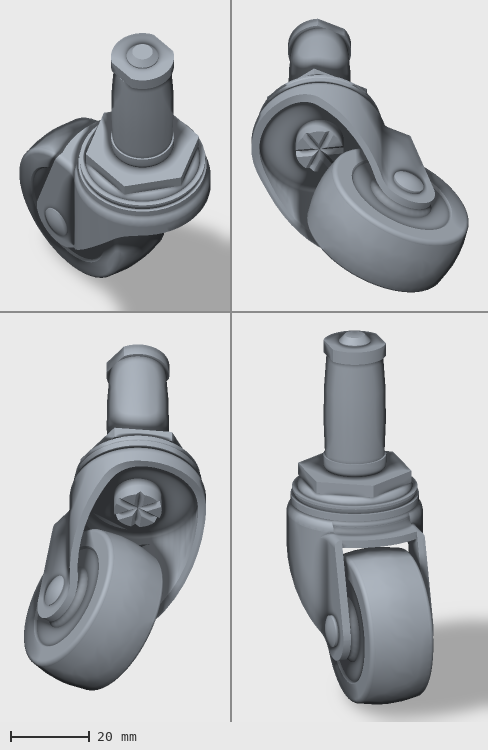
import cadquery as cq

import math


wheel_radius = 20.0
wheel_width = 17.0
axle_x = -19.0
axle_z = wheel_radius

tread_width = 14.7
tread_edge_radius = 19.0
face_radius = 17.85
recess_radius = 14.0
recess_depth = 0.55
hub_base_radius = 8.5
hub_width = 19.3

axle_radius = 3.1
axle_head_radius = 4.05
head_dome_height = 1.1
front_head_rim = 0.3
back_head_rim = 0.8

sheet = 2.0
skirt_radius = 17.3
skirt_bottom_z = 41.2
plate_top_z = 44.3
fork_top_z = 47.5
shoulder_round = (fork_top_z - plate_top_z) / 2
leg_half_width = 12.05
leg_tip_radius = 7.6
leg_blend_radius = 4.1
leg_bend_radius = 1.75
plate_front_radius = 21.8
front_edge_angle = math.radians(17.4)
rear_edge_angle = math.radians(48.8)
rear_corner_radius = 9.0
shoulder_wall_radius = 16.3
stem_hole_radius = 5.0

foot_radius = 6.1
foot_bottom_z = 39.9
notch_depth = 1.1
notch_half_width = 1.1
groove_count = 3
lower_ring_radius = 16.3
lower_ring_top_z = 49.2
neck_bottom_radius = 15.5
neck_top_z = 50.5
upper_ring_radius = 15.9
upper_ring_top_z = 51.15
cap_radius = 14.6
cap_top_z = 53.1
hex_corner_diameter = 29.35
hex_top_z = 56.2
collar_radius = 8.0
collar_foot_radius = 7.5
collar_bulge = 0.14
collar_bottom_z = 57.4
collar_top_z = 59.7
barrel_bottom_radius = 7.5
barrel_middle_radius = 7.9
barrel_top_radius = 7.2
flange_bottom_z = 86.8
flange_top_z = 90.1
flange_flat_half_width = 7.1
tip_radius = 4.05
tip_rim_height = 0.4
tip_top_radius = 2.6
tip_top_z = 92.0


def turned_about_axle(profile):
    """Revolve a (radius, y) half profile about the wheel's Y axis."""
    turned = profile.close().revolve(360, (0, 0, 0), (0, 1, 0))
    return turned.translate((axle_x, 0, axle_z))


def turned_about_stem(profile):
    """Revolve a (radius, z) half profile about the swivel axis."""
    return profile.close().revolve(360, (0, 0, 0), (0, 1, 0))


def make_wheel():
    face_y = wheel_width / 2
    tread_y = tread_width / 2
    recess_y = face_y - recess_depth
    hub_y = hub_width / 2
    hub_tip_radius = hub_base_radius - (hub_y - recess_y)
    recess_floor_radius = recess_radius - recess_depth
    tread_drop = tread_edge_radius - face_radius
    edge_mid = (
        face_radius + tread_drop * math.sin(math.pi / 4),
        tread_y + (face_y - tread_y) * math.sin(math.pi / 4),
    )
    profile = (
        cq.Workplane("XY")
        .moveTo(axle_radius, -hub_y)
        .lineTo(hub_tip_radius, -hub_y)
        .lineTo(hub_base_radius, -recess_y)
        .lineTo(recess_floor_radius, -recess_y)
        .lineTo(recess_radius, -face_y)
        .lineTo(face_radius, -face_y)
        .threePointArc((edge_mid[0], -edge_mid[1]), (tread_edge_radius, -tread_y))
        .threePointArc((wheel_radius, 0), (tread_edge_radius, tread_y))
        .threePointArc(edge_mid, (face_radius, face_y))
        .lineTo(recess_radius, face_y)
        .lineTo(recess_floor_radius, recess_y)
        .lineTo(hub_base_radius, recess_y)
        .lineTo(hub_tip_radius, hub_y)
        .lineTo(axle_radius, hub_y)
    )
    return turned_about_axle(profile)


def make_axle():
    """Rivet whose two domed heads sit on the outside of the fork legs."""
    leg_y = leg_half_width
    front_rim_y = -leg_y - front_head_rim
    back_rim_y = leg_y + back_head_rim
    dome_sphere_radius = (axle_head_radius**2 + head_dome_height**2) / (2 * head_dome_height)
    mid_radius = axle_head_radius / 2
    mid_height = head_dome_height - dome_sphere_radius + math.sqrt(dome_sphere_radius**2 - mid_radius**2)
    profile = (
        cq.Workplane("XY")
        .moveTo(0, front_rim_y - head_dome_height)
        .threePointArc((mid_radius, front_rim_y - mid_height), (axle_head_radius, front_rim_y))
        .lineTo(axle_head_radius, -leg_y)
        .lineTo(axle_radius, -leg_y)
        .lineTo(axle_radius, leg_y)
        .lineTo(axle_head_radius, leg_y)
        .lineTo(axle_head_radius, back_rim_y)
        .threePointArc((mid_radius, back_rim_y + mid_height), (0, back_rim_y + head_dome_height))
    )
    return turned_about_axle(profile)


def fork_plan(inset, bottom_z, top_z):
    """Prism of the fork's outline: a round skirt blended into two parallel legs toward -X."""
    radius = skirt_radius - inset
    half_width = leg_half_width - inset
    blend = leg_blend_radius + inset
    far_x = axle_x - wheel_radius
    blend_y = half_width + blend
    blend_x = -math.sqrt((radius + blend) ** 2 - blend_y**2)
    skirt_share = radius / (radius + blend)
    join_x = blend_x * skirt_share
    join_y = blend_y * skirt_share
    middle_angle = (math.atan2(join_y - blend_y, join_x - blend_x) - math.pi / 2) / 2
    middle_x = blend_x + blend * math.cos(middle_angle)
    middle_y = blend_y + blend * math.sin(middle_angle)
    return (
        cq.Workplane("XY", origin=(0, 0, bottom_z))
        .moveTo(far_x, -half_width)
        .lineTo(blend_x, -half_width)
        .threePointArc((middle_x, -middle_y), (join_x, -join_y))
        .threePointArc((radius, 0), (join_x, join_y))
        .threePointArc((middle_x, middle_y), (blend_x, half_width))
        .lineTo(far_x, half_width)
        .close()
        .extrude(top_z - bottom_z)
    )


def dome(inset):
    """Round top of the fork with a rounded rim."""
    rim_radius = fork_top_z - plate_top_z - inset
    height = fork_top_z - skirt_bottom_z - inset
    disc = cq.Workplane("XY", origin=(0, 0, skirt_bottom_z)).circle(skirt_radius - inset).extrude(height)
    return disc.faces(">Z").edges().fillet(rim_radius)


def front_shoulder():
    """S-shaped shoulder that leads the front of the dome down onto the flat plate."""
    outer_radius = shoulder_wall_radius + shoulder_round
    inner_radius = shoulder_wall_radius - shoulder_round
    middle_z = plate_top_z + shoulder_round
    diagonal = shoulder_round * math.sin(math.pi / 4)
    root_z = plate_top_z - sheet / 2
    profile = (
        cq.Workplane("XZ")
        .moveTo(outer_radius, root_z)
        .lineTo(outer_radius, plate_top_z)
        .threePointArc((outer_radius - diagonal, middle_z - diagonal), (shoulder_wall_radius, middle_z))
        .threePointArc((inner_radius + diagonal, middle_z + diagonal), (inner_radius, fork_top_z))
        .lineTo(inner_radius - shoulder_round, fork_top_z)
        .lineTo(inner_radius - shoulder_round, root_z)
    )
    return turned_about_stem(profile).intersect(front_strip(root_z))


def front_strip(bottom_z):
    """Block over the flat width of the front plate, from the given height to the top of the fork."""
    plate_half_width = leg_half_width - leg_bend_radius
    return cq.Workplane("XY", origin=(-plate_front_radius, 0, bottom_z)).box(
        plate_front_radius - leg_half_width,
        2 * plate_half_width,
        fork_top_z - bottom_z,
        centered=(False, True, False),
    )


def fork_side_profile():
    """Side outline below the fork: round leg tips, the sloped rear edge and the skirt's lower edge."""
    sin_rear = math.sin(rear_edge_angle)
    cos_rear = math.cos(rear_edge_angle)
    rear_touch = (axle_x + leg_tip_radius * sin_rear, axle_z - leg_tip_radius * cos_rear)
    corner_x = rear_touch[0] + (skirt_bottom_z - rear_touch[1]) / math.tan(rear_edge_angle)
    corner_setback = rear_corner_radius * math.tan(rear_edge_angle / 2)
    corner_start = (corner_x - corner_setback * cos_rear, skirt_bottom_z - corner_setback * sin_rear)
    corner_middle = (
        corner_x + corner_setback - rear_corner_radius * math.sin(rear_edge_angle / 2),
        skirt_bottom_z - rear_corner_radius * (1 - math.cos(rear_edge_angle / 2)),
    )
    front_x = axle_x - leg_tip_radius
    return (
        cq.Workplane("XZ")
        .moveTo(front_x, fork_top_z)
        .lineTo(front_x, axle_z)
        .threePointArc((axle_x, axle_z - leg_tip_radius), rear_touch)
        .lineTo(*corner_start)
        .threePointArc(corner_middle, (corner_x + corner_setback, skirt_bottom_z))
        .lineTo(skirt_radius, skirt_bottom_z)
        .lineTo(skirt_radius, fork_top_z)
        .close()
        .extrude(skirt_radius, both=True)
    )


def leg_front_waste():
    """Wedges in front of the legs' sloped front edges."""
    front_touch = (
        axle_x - leg_tip_radius * math.cos(front_edge_angle),
        axle_z + leg_tip_radius * math.sin(front_edge_angle),
    )
    top_x = front_touch[0] + (fork_top_z - front_touch[1]) * math.tan(front_edge_angle)
    far_x = axle_x - wheel_radius
    inner_half_width = leg_half_width - sheet
    wedge = (
        cq.Workplane("XZ", origin=(0, -inner_half_width, 0))
        .moveTo(top_x, fork_top_z)
        .lineTo(*front_touch)
        .threePointArc(
            (
                axle_x - leg_tip_radius * math.cos(front_edge_angle / 2),
                axle_z + leg_tip_radius * math.sin(front_edge_angle / 2),
            ),
            (axle_x - leg_tip_radius, axle_z),
        )
        .lineTo(far_x, axle_z)
        .lineTo(far_x, fork_top_z)
        .close()
        .extrude(skirt_radius)
    )
    return wedge.union(wedge.mirror("XZ"))


def plate_front_waste():
    """Material in front of the plate's round front edge, between the legs."""
    inner_width = 2 * (leg_half_width - sheet)
    far_x = axle_x - wheel_radius
    block = cq.Workplane("XY", origin=(far_x, 0, skirt_bottom_z)).box(
        -far_x, inner_width, plate_top_z, centered=(False, True, False)
    )
    return block.cut(cq.Workplane("XY").circle(plate_front_radius).extrude(2 * plate_top_z))


def make_fork():
    plate_bottom_z = plate_top_z - sheet
    outer = fork_plan(0, 0, plate_top_z).faces(">Z").edges("not <X").fillet(leg_bend_radius)
    outer = outer.union(dome(0)).cut(front_strip(plate_top_z)).union(front_shoulder())
    cavity = fork_plan(sheet, 0, plate_bottom_z).union(dome(sheet))
    fork = outer.cut(cavity)
    fork = fork.cut(plate_front_waste()).cut(leg_front_waste()).intersect(fork_side_profile())
    stem_hole = cq.Workplane("XY").circle(stem_hole_radius).extrude(fork_top_z)
    axle_hole = (
        cq.Workplane("XZ", origin=(axle_x, 0, axle_z)).circle(axle_radius).extrude(skirt_radius, both=True)
    )
    return fork.cut(stem_hole).cut(axle_hole)


def stem_base():
    """Foot under the fork, shank through it, and the stacked rings and cap above it."""
    fork_under_z = fork_top_z - sheet
    cap_round = cap_top_z - upper_ring_top_z
    cap_middle = (
        cap_radius - cap_round * (1 - math.cos(math.pi / 4)),
        upper_ring_top_z + cap_round * math.sin(math.pi / 4),
    )
    profile = (
        cq.Workplane("XZ")
        .moveTo(0, foot_bottom_z)
        .lineTo(foot_radius, foot_bottom_z)
        .lineTo(foot_radius, fork_under_z)
        .lineTo(stem_hole_radius, fork_under_z)
        .lineTo(stem_hole_radius, fork_top_z)
        .lineTo(lower_ring_radius, fork_top_z)
        .lineTo(lower_ring_radius, lower_ring_top_z)
        .lineTo(neck_bottom_radius, lower_ring_top_z)
        .lineTo(upper_ring_radius, neck_top_z)
        .lineTo(upper_ring_radius, upper_ring_top_z)
        .lineTo(cap_radius, upper_ring_top_z)
        .threePointArc(cap_middle, (cap_radius - cap_round, cap_top_z))
        .lineTo(0, cap_top_z)
    )
    return turned_about_stem(profile)


def stem_post():
    """Collar, bulged barrel, top flange and coned tip above the hexagon."""
    collar_round_middle = (
        (collar_radius + collar_foot_radius) / 2 + collar_bulge,
        (hex_top_z + collar_bottom_z) / 2,
    )
    barrel_middle_z = (collar_top_z + flange_bottom_z) / 2
    profile = (
        cq.Workplane("XZ")
        .moveTo(0, hex_top_z)
        .lineTo(collar_foot_radius, hex_top_z)
        .threePointArc(collar_round_middle, (collar_radius, collar_bottom_z))
        .lineTo(collar_radius, collar_top_z)
        .lineTo(barrel_bottom_radius, collar_top_z)
        .threePointArc((barrel_middle_radius, barrel_middle_z), (barrel_top_radius, flange_bottom_z))
        .lineTo(collar_radius, flange_bottom_z)
        .lineTo(collar_radius, flange_top_z)
        .lineTo(tip_radius, flange_top_z)
        .lineTo(tip_radius, flange_top_z + tip_rim_height)
        .lineTo(tip_top_radius, tip_top_z)
        .lineTo(0, tip_top_z)
    )
    return turned_about_stem(profile)


def flange_flats():
    """Material removed from the top flange on its two Y sides."""
    depth = collar_radius - flange_flat_half_width
    block = cq.Workplane("XY", origin=(0, flange_flat_half_width, flange_bottom_z)).box(
        2 * collar_radius, depth, flange_top_z - flange_bottom_z, centered=(True, False, False)
    )
    return block.union(block.mirror("XZ"))


def foot_groove(angle):
    """V groove across the bottom of the foot."""
    return (
        cq.Workplane("YZ")
        .moveTo(-notch_half_width, foot_bottom_z)
        .lineTo(0, foot_bottom_z + notch_depth)
        .lineTo(notch_half_width, foot_bottom_z)
        .close()
        .extrude(foot_radius, both=True)
        .rotate((0, 0, 0), (0, 0, 1), angle)
    )


def make_stem():
    hexagon = (
        cq.Workplane("XY", origin=(0, 0, cap_top_z))
        .polygon(6, hex_corner_diameter)
        .extrude(hex_top_z - cap_top_z)
    )
    stem = stem_base().union(hexagon).union(stem_post()).cut(flange_flats())
    pitch = 180 / groove_count
    for index in range(groove_count):
        stem = stem.cut(foot_groove((index + 0.5) * pitch))
    return stem


fork = make_fork()
stem = make_stem()
wheel = make_wheel()
axle = make_axle()

result = cq.Compound.makeCompound([fork.val(), stem.val(), wheel.val(), axle.val()])